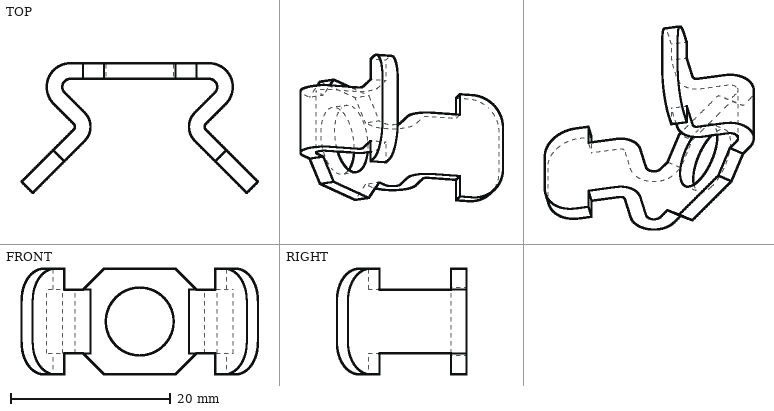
import cadquery as cq
import math

span = 29.7
depth = 16.3
height = 13.3

thickness = 2.0
strap_height = 8.0
hole_diameter = 8.5
plate_edge_width = 8.97

bend_center_x = 8.7
upper_inner_radius = 1.0
lower_inner_radius = 0.5
head_length = 5.6
head_corner_radius = 3.98

DIAGONAL = math.sqrt(0.5)
upper_outer_radius = upper_inner_radius + thickness
lower_outer_radius = lower_inner_radius + thickness

tip_front = (span / 2 - thickness * DIAGONAL, -depth)
shoulder_front = (tip_front[0] - head_length * DIAGONAL, tip_front[1] + head_length * DIAGONAL)
shoulder_back = (shoulder_front[0] + thickness * DIAGONAL, shoulder_front[1] + thickness * DIAGONAL)

upper_center = (bend_center_x, -upper_outer_radius)
center_spacing = (upper_outer_radius + lower_inner_radius) / DIAGONAL
center_difference = upper_center[0] - upper_center[1] + center_spacing
center_sum = sum(tip_front) + lower_outer_radius / DIAGONAL
lower_center = ((center_sum + center_difference) / 2, (center_sum - center_difference) / 2)


def on_circle(center, radius, degrees):
    angle = math.radians(degrees)
    return (center[0] + radius * math.cos(angle), center[1] + radius * math.sin(angle))


def make_strap():
    """Right half of the bent strip, from the middle of the plate to the head."""
    return (
        cq.Workplane("XY")
        .workplane(offset=-strap_height / 2)
        .moveTo(0, 0)
        .lineTo(bend_center_x, 0)
        .threePointArc(
            on_circle(upper_center, upper_outer_radius, 22.5),
            on_circle(upper_center, upper_outer_radius, -45),
        )
        .lineTo(*on_circle(lower_center, lower_inner_radius, 135))
        .threePointArc(
            on_circle(lower_center, lower_inner_radius, 180),
            on_circle(lower_center, lower_inner_radius, 225),
        )
        .lineTo(*shoulder_back)
        .lineTo(*shoulder_front)
        .lineTo(*on_circle(lower_center, lower_outer_radius, 225))
        .threePointArc(
            on_circle(lower_center, lower_outer_radius, 180),
            on_circle(lower_center, lower_outer_radius, 135),
        )
        .lineTo(*on_circle(upper_center, upper_inner_radius, -45))
        .threePointArc(
            on_circle(upper_center, upper_inner_radius, 22.5),
            on_circle(upper_center, upper_inner_radius, 90),
        )
        .lineTo(0, -thickness)
        .close()
        .extrude(strap_height)
    )


def make_head():
    """Wide end of the right arm, with its two outer corners rounded."""
    arm_plane = cq.Plane(origin=(*tip_front, 0), xDir=(-1, 1, 0), normal=(1, 1, 0))
    head = (
        cq.Workplane(arm_plane)
        .center(head_length / 2, 0)
        .rect(head_length, height)
        .extrude(thickness)
    )
    return head.edges("|(1,1,0)").edges(">(1,-1,0)").fillet(head_corner_radius)


def make_plate():
    """Middle plate whose corner chamfers end at the strap edges."""
    chamfer = (height - strap_height) / 2
    plate = (
        cq.Workplane("XY")
        .box(plate_edge_width + 2 * chamfer, thickness, height)
        .edges("|Y")
        .chamfer(chamfer)
    )
    return plate.translate((0, -thickness / 2, 0))


right_half = make_strap().union(make_head())
left_half = right_half.mirror("YZ")
hole = cq.Workplane("XZ").circle(hole_diameter / 2).extrude(thickness)

result = make_plate().union(right_half).union(left_half).cut(hole)